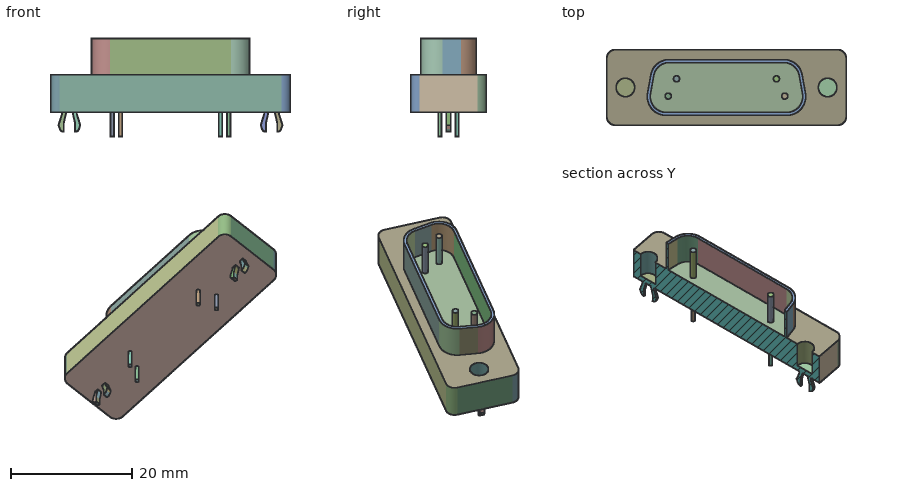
import cadquery as cq
import math

BASE_LENGTH = 39.5
BASE_WIDTH = 12.5
BASE_HEIGHT = 6.2
BASE_CORNER_RADIUS = 1.5

SHELL_HEIGHT = 6.0
SHELL_WIDTH = 9.2
SHELL_WALL = 0.5
SHELL_CORNER_RADIUS = 3.1
SHELL_SIDE_ANGLE = 10.0
SHELL_WIDE_CENTRE_X = 9.95

MOUNT_SPACING = 33.3
MOUNT_HOLE_DIAMETER = 3.05
MOUNT_HOLE_DEPTH = 5.0

CLIP_THICKNESS = 0.8
PRONG_ROOT_INNER_X = 0.5
PRONG_ROOT_OUTER_X = 1.25
PRONG_INNER_X = 0.9
PRONG_INNER_BEND_Z = -1.7
PRONG_NECK_Z = -0.33
PRONG_BARB_X = 1.8
PRONG_BARB_Z = -2.1
PRONG_TIP_ARC_START = (1.6, -2.7)
PRONG_TIP_ARC_MIDDLE = (1.36, -3.06)
PRONG_TIP_Z = -3.2

PIN_PITCH = 2.743
ROW_SPACING = 2.84
WIDE_ROW_POSITIONS = 8
NARROW_ROW_POSITIONS = 7
CONTACT_DIAMETER = 1.0
TAIL_DIAMETER = 0.6
TAIL_LENGTH = 4.0


def make_base():
    block = cq.Workplane("XY").box(BASE_LENGTH, BASE_WIDTH, BASE_HEIGHT, centered=(True, True, False))
    return block.edges("|Z").fillet(BASE_CORNER_RADIUS)


def make_d_prism(inset):
    """Rounded D-shaped prism of shell height, `inset` inside the shell's outer face."""
    radius = SHELL_CORNER_RADIUS - inset
    half_width = SHELL_WIDTH / 2 - inset
    lean = math.radians(SHELL_SIDE_ANGLE)
    wide_corner_angle = math.pi / 2 - lean
    wide_x = SHELL_WIDE_CENTRE_X + radius / math.tan(wide_corner_angle / 2)
    narrow_x = wide_x - 2 * half_width * math.tan(lean)
    corners = [
        (-wide_x, -half_width),
        (wide_x, -half_width),
        (narrow_x, half_width),
        (-narrow_x, half_width),
    ]
    prism = (
        cq.Workplane("XY", origin=(0, 0, BASE_HEIGHT))
        .polyline(corners)
        .close()
        .extrude(SHELL_HEIGHT)
    )
    return prism.edges("|Z").fillet(radius)


def make_shell():
    return make_d_prism(0).cut(make_d_prism(SHELL_WALL))


def make_mount_hole(x):
    top_plane = cq.Workplane("XY", origin=(x, 0, BASE_HEIGHT))
    return top_plane.circle(MOUNT_HOLE_DIAMETER / 2).extrude(-MOUNT_HOLE_DEPTH)


def make_clip(x):
    """Two mirrored prongs hanging from the underside of the base."""
    profile = (
        cq.Workplane("XZ")
        .moveTo(PRONG_ROOT_INNER_X, 0)
        .lineTo(PRONG_ROOT_OUTER_X, 0)
        .lineTo(PRONG_ROOT_OUTER_X, PRONG_NECK_Z)
        .lineTo(PRONG_BARB_X, PRONG_BARB_Z)
        .lineTo(*PRONG_TIP_ARC_START)
        .threePointArc(PRONG_TIP_ARC_MIDDLE, (PRONG_INNER_X, PRONG_TIP_Z))
        .lineTo(PRONG_INNER_X, PRONG_INNER_BEND_Z)
        .close()
    )
    prong = profile.extrude(CLIP_THICKNESS / 2, both=True)
    return prong.union(prong.mirror("YZ")).translate((x, 0, 0))


def make_contact(x, y):
    """Mating pin inside the shell, level with the shell's rim."""
    floor_plane = cq.Workplane("XY", origin=(x, y, BASE_HEIGHT))
    return floor_plane.circle(CONTACT_DIAMETER / 2).extrude(SHELL_HEIGHT)


def make_tail(x, y):
    """Solder tail below the base."""
    return cq.Workplane("XY", origin=(x, y, 0)).circle(TAIL_DIAMETER / 2).extrude(-TAIL_LENGTH)


result = make_base().union(make_shell())

pin_rows = [
    (WIDE_ROW_POSITIONS, -ROW_SPACING / 2),
    (NARROW_ROW_POSITIONS, ROW_SPACING / 2),
]
for side in (-1, 1):
    mount_x = side * MOUNT_SPACING / 2
    result = result.cut(make_mount_hole(mount_x))
    result = result.union(make_clip(mount_x))
    for positions, row_y in pin_rows:
        pin_x = side * PIN_PITCH * (positions - 1) / 2
        result = result.union(make_contact(pin_x, row_y))
        result = result.union(make_tail(pin_x, row_y))